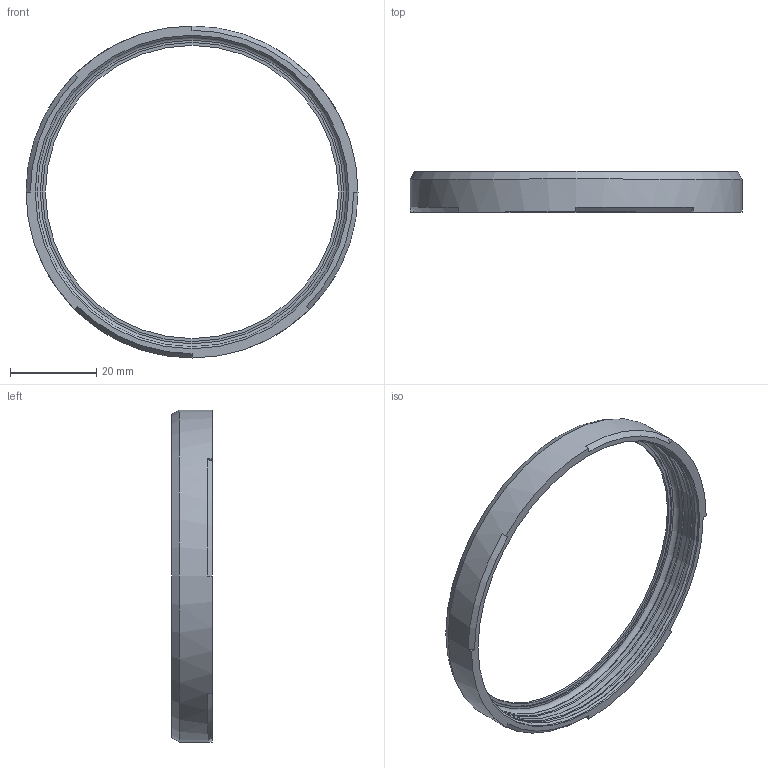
import cadquery as cq

outer_radius = 38.5
ring_length = 9.4
front_y = -ring_length / 2
back_y = ring_length / 2
axis_start = (0, 0, 0)
axis_end = (0, 1, 0)
full_turn = 360

back_bevel_depth = 1.0
back_bevel_length = 1.75

mouth_radius = 36.35
mouth_length = 0.45
crest_radius = 35.9
groove_radius = 36.1
crest_length = 1.0
crest_pitch = 2.8
crest_count = 2
first_crest_start = 2.2
cove_length = 1.1
seat_radius = 35.2
seat_depth = 7.4
step_radius = 34.7
step_length = 0.3
hole_radius = 34.0
lip_length = 0.5

back_bore_radius = 36.1

ramp_count = 4
ramp_angle = 45
ramp_depth = 1.0
ramp_length = 1.1


def draw_outside(profile):
    """Trace the outer wall from the back face to the front face."""
    return (
        profile.lineTo(outer_radius - back_bevel_depth, back_y)
        .lineTo(outer_radius, back_y - back_bevel_length)
        .lineTo(outer_radius, front_y)
    )


def draw_mouth(profile):
    """Trace the front mouth and the 45 degree lead-in, ending in the first groove."""
    lead_in_end = front_y + mouth_length + mouth_radius - crest_radius
    flank = groove_radius - crest_radius
    return (
        profile.lineTo(mouth_radius, front_y)
        .lineTo(mouth_radius, front_y + mouth_length)
        .lineTo(crest_radius, lead_in_end)
        .lineTo(groove_radius, lead_in_end + flank)
    )


def draw_crest(profile, start):
    """Trace one raised band with 45 degree flanks, starting and ending in a groove."""
    flank = groove_radius - crest_radius
    end = start + crest_length
    return (
        profile.lineTo(groove_radius, start - flank)
        .lineTo(crest_radius, start)
        .lineTo(crest_radius, end)
        .lineTo(groove_radius, end + flank)
    )


def draw_cove_and_step(profile):
    """Trace the cove behind the last groove, its flat seat and the step down to the hole."""
    seat_y = front_y + seat_depth
    return (
        profile.lineTo(groove_radius, seat_y - cove_length)
        .tangentArcPoint((seat_radius, seat_y), relative=False)
        .lineTo(step_radius, seat_y)
        .lineTo(step_radius, seat_y + step_length)
        .lineTo(hole_radius, seat_y + step_length)
    )


def make_ring():
    """Revolve the ring section about the Y axis."""
    lip_back_y = front_y + seat_depth + step_length + lip_length
    profile = (
        cq.Workplane("XY")
        .moveTo(hole_radius, lip_back_y)
        .lineTo(back_bore_radius, lip_back_y)
        .lineTo(back_bore_radius, back_y)
    )
    profile = draw_outside(profile)
    profile = draw_mouth(profile)
    for index in range(crest_count):
        profile = draw_crest(profile, front_y + first_crest_start + index * crest_pitch)
    profile = draw_cove_and_step(profile)
    return profile.close().revolve(full_turn, axis_start, axis_end)


def make_ramp_cutter():
    """Sweep the triangular ramp section over its arc, from +X towards -Z."""
    return (
        cq.Workplane("XY")
        .moveTo(outer_radius - ramp_depth, front_y)
        .lineTo(outer_radius, front_y)
        .lineTo(outer_radius, front_y + ramp_length)
        .close()
        .revolve(ramp_angle, axis_start, axis_end)
    )


result = make_ring()
for index in range(ramp_count):
    turn = index * full_turn / ramp_count
    result = result.cut(make_ramp_cutter().rotate(axis_start, axis_end, turn))